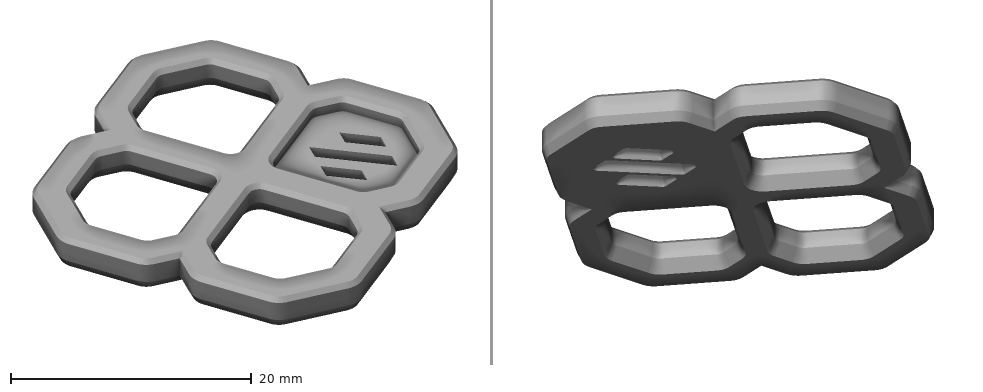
import cadquery as cq
import math

span = 35.35
thickness = 3.0
tip_half_flat = 3.55
lobe_half_width = 9.1
corner_radius = 2.0
top_chamfer = 0.4
bottom_chamfer_width = 0.4
bottom_chamfer_height = 0.8

wall = 3.0
window_radius = 1.0
window_flare_width = 0.6
window_flare_height = 1.2

floor_thickness = 1.7
slot_center_y = 9.6
slot_length = 6.05
slot_width = 1.38
slot_pitch = 2.72
slot_lean = math.tan(math.radians(30))

half_span = span / 2
diagonal_reach = half_span + tip_half_flat


def prism(points, bottom, top, radius=0.0):
    """Straight prism between two heights; its upright edges are rounded when a radius is given."""
    outline = cq.Workplane("XY").workplane(offset=bottom).polyline(points).close()
    body = outline.extrude(top - bottom)
    if radius:
        body = body.edges("|Z").fillet(radius)
    return body


def sloped_end(body, face, height, growth):
    """Sloped layer that continues a prism past one end face, growing sideways by `growth`."""
    taper = -math.degrees(math.atan2(growth, height))
    end_face = body.faces(face)
    outline = end_face.workplane().add(end_face.wires().vals()).toPending()
    return outline.extrude(height, taper=taper, combine=False)


def lobe_pair_outline():
    """Long octagon that forms the -Y and +Y lobes together."""
    shoulder = diagonal_reach - lobe_half_width
    upper_end = [
        (lobe_half_width, shoulder),
        (tip_half_flat, half_span),
        (-tip_half_flat, half_span),
        (-lobe_half_width, shoulder),
    ]
    lower_end = [(-x, -y) for x, y in upper_end]
    return upper_end + lower_end


def window_outline():
    """Window of the +Y lobe: a right-angled apex toward the centre and a flat outer end."""
    half_width = lobe_half_width - wall
    apex_y = wall / math.sqrt(2)
    end_y = half_span - wall
    reach = diagonal_reach - wall * math.sqrt(2)
    right_side = [
        (half_width, apex_y + half_width),
        (half_width, reach - half_width),
        (reach - end_y, end_y),
    ]
    left_side = [(-x, y) for x, y in reversed(right_side)]
    return [(0, apex_y)] + right_side + left_side


def slot_outline(center_x, bottom_y, top_y):
    """Leaning slot; `center_x` is where its axis crosses the slots' common centre line."""
    bottom_x = center_x + (bottom_y - slot_center_y) * slot_lean
    top_x = center_x + (top_y - slot_center_y) * slot_lean
    half = slot_width / 2
    return [
        (bottom_x - half, bottom_y),
        (bottom_x + half, bottom_y),
        (top_x + half, top_y),
        (top_x - half, top_y),
    ]


def lobe_pair():
    middle = prism(lobe_pair_outline(), bottom_chamfer_height, thickness - top_chamfer, corner_radius)
    top = sloped_end(middle, ">Z", top_chamfer, -top_chamfer)
    bottom = sloped_end(middle, "<Z", bottom_chamfer_height, -bottom_chamfer_width)
    return middle.union(top).union(bottom)


def open_window():
    middle = prism(window_outline(), window_flare_height, thickness - top_chamfer, window_radius)
    top = sloped_end(middle, ">Z", top_chamfer, top_chamfer)
    bottom = sloped_end(middle, "<Z", window_flare_height, window_flare_width)
    return middle.union(top).union(bottom)


def closed_window():
    pocket = prism(window_outline(), floor_thickness, thickness - top_chamfer, window_radius)
    return pocket.union(sloped_end(pocket, ">Z", top_chamfer, top_chamfer))


def slot(center_x, bottom_y, top_y):
    straight = prism(slot_outline(center_x, bottom_y, top_y), bottom_chamfer_height, floor_thickness)
    return straight.union(sloped_end(straight, "<Z", bottom_chamfer_height, bottom_chamfer_width))


result = lobe_pair().union(lobe_pair().rotate((0, 0, 0), (0, 0, 1), 90))

for turn in (90, 180, 270):
    result = result.cut(open_window().rotate((0, 0, 0), (0, 0, 1), turn))

result = result.cut(closed_window())
slot_bottom = slot_center_y - slot_length / 2
slot_top = slot_center_y + slot_length / 2
result = result.cut(slot(-slot_pitch, slot_center_y, slot_top))
result = result.cut(slot(0, slot_bottom, slot_top))
result = result.cut(slot(slot_pitch, slot_bottom, slot_center_y))